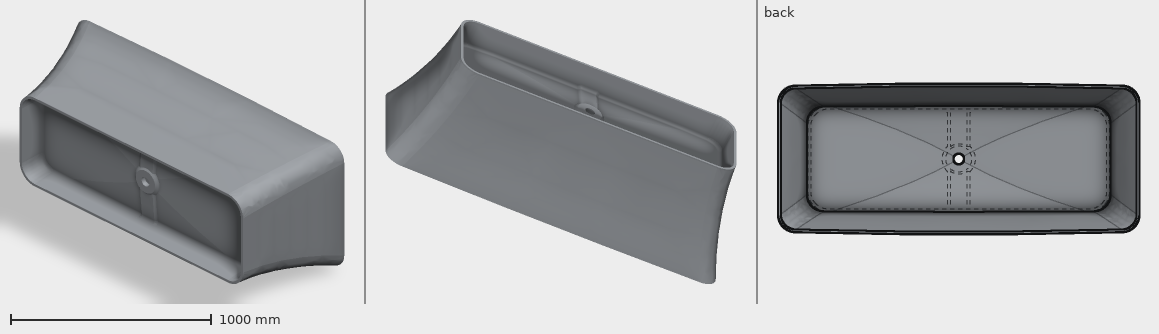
import cadquery as cq
import math


height = 585.0
rim_half_length = 900.0
rim_half_width = 376.0
rim_side_bulge = 10.0
foot_side_bulge = 0.4
foot_half_length = 750.0
foot_half_width = 263.0
length_sag = 25.0
width_sag = 18.0
foot_corner_radius = 100.0
rim_corner_radius = 90.0
lip_height = 7.0
flare_steps = 3

wall = 15.0
recess_draft = 3.5
recess_fillet = 18.0

floor_height = 115.0
end_slope = 0.035
crease_ratio = 1.7
crease_curve = 0.002778

boss_base_radius = 80.0
boss_face_radius = 65.0
boss_height = 10.0
drain_diameter = 52.0
rib_base_width = 113.0
rib_face_width = 83.0
rib_height = 8.1


def flare(level, foot_half, rim_half, sag):
    """Half size of the body at a level, on the arc from the lip top to the rim."""
    rise = height - lip_height
    run = rim_half - foot_half
    chord = math.hypot(rise, run)
    radius = (chord ** 2 / 4 + sag ** 2) / (2 * sag)
    to_center = radius - sag
    center_out = (foot_half + rim_half) / 2 + to_center * rise / chord
    center_up = lip_height + rise / 2 - to_center * run / chord
    return center_out - math.sqrt(radius ** 2 - (level - center_up) ** 2)


def rounded_outline(plane, half_length, half_width, radius, bulge):
    """Rounded rectangle whose long sides bow outwards by the bulge."""
    x_straight = half_length - radius
    y_side = half_width - bulge
    y_straight = y_side - radius
    diagonal = radius * math.sqrt(0.5)
    x_mid = x_straight + diagonal
    y_mid = y_straight + diagonal
    return (
        plane.moveTo(-x_straight, -y_side)
        .threePointArc((0, -half_width), (x_straight, -y_side))
        .threePointArc((x_mid, -y_mid), (half_length, -y_straight))
        .lineTo(half_length, y_straight)
        .threePointArc((x_mid, y_mid), (x_straight, y_side))
        .threePointArc((0, half_width), (-x_straight, y_side))
        .threePointArc((-x_mid, y_mid), (-half_length, y_straight))
        .lineTo(-half_length, -y_straight)
        .threePointArc((-x_mid, -y_mid), (-x_straight, -y_side))
        .close()
    )


def flared_body(inset):
    """The flared outside shape above the lip, shrunk sideways by the inset."""
    sections = cq.Workplane("XY")
    level = 0
    for step in range(flare_steps + 1):
        fraction = step / flare_steps
        next_level = lip_height + (height - lip_height) * fraction
        sections = rounded_outline(
            sections.workplane(offset=next_level - level),
            flare(next_level, foot_half_length, rim_half_length, length_sag) - inset,
            flare(next_level, foot_half_width, rim_half_width, width_sag) - inset,
            foot_corner_radius + (rim_corner_radius - foot_corner_radius) * fraction - inset,
            foot_side_bulge + (rim_side_bulge - foot_side_bulge) * fraction,
        )
        level = next_level
    return sections.loft(ruled=False, combine=True)


def foot_prism(inset, prism_height, draft=0):
    """Block standing on the foot outline shrunk by the inset."""
    outline = (
        cq.Sketch()
        .rect(2 * (foot_half_length - inset), 2 * (foot_half_width - inset))
        .vertices()
        .fillet(foot_corner_radius - inset)
    )
    return cq.Workplane("XY").placeSketch(outline).extrude(prism_height, taper=draft)


def side_rise(y):
    """Rise of the floor beside the drain, matched to the end slope along the creases."""
    return end_slope * (crease_ratio * y + crease_curve * y ** 2)


def side_profile(base_height):
    """Space under the side panels of the floor, as a YZ outline."""
    reach = rim_half_width
    middle = reach / 2
    edge_height = base_height + side_rise(reach)
    middle_height = base_height + side_rise(middle)
    return (
        cq.Workplane("YZ")
        .moveTo(-reach, 0)
        .lineTo(-reach, edge_height)
        .threePointArc((-middle, middle_height), (0, base_height))
        .threePointArc((middle, middle_height), (reach, edge_height))
        .lineTo(reach, 0)
        .close()
    )


def space_under_floor(base_height):
    """Everything below a floor surface that starts at base_height at the drain."""
    end_height = base_height + end_slope * rim_half_length
    under_ends = (
        cq.Workplane("XZ")
        .polyline([
            (-rim_half_length, 0),
            (-rim_half_length, end_height),
            (0, base_height),
            (rim_half_length, end_height),
            (rim_half_length, 0),
        ])
        .close()
        .extrude(rim_half_width, both=True)
    )
    under_sides = side_profile(base_height).extrude(rim_half_length, both=True)
    return under_ends.union(under_sides)


def half_rib():
    """Raised bar with sloping flanks, following the floor from the drain to the +Y wall."""
    reach = rim_half_width
    middle = reach / 2
    path = (
        cq.Workplane("YZ")
        .moveTo(0, floor_height)
        .threePointArc((middle, floor_height + side_rise(middle)), (reach, floor_height + side_rise(reach)))
    )
    return (
        cq.Workplane("XZ", origin=(0, 0, floor_height))
        .polyline([
            (-rib_base_width / 2, 0),
            (-rib_face_width / 2, -rib_height),
            (rib_face_width / 2, -rib_height),
            (rib_base_width / 2, 0),
            (rib_face_width / 2, rib_height),
            (-rib_face_width / 2, rib_height),
        ])
        .close()
        .sweep(path)
    )


def drain_boss():
    """Round pad with a conical flank around the drain."""
    flank_slope = (boss_base_radius - boss_face_radius) / boss_height
    top_radius = boss_face_radius + flank_slope * (boss_height + wall / 2)
    face_height = floor_height - boss_height
    top_height = floor_height + wall / 2
    return (
        cq.Workplane("XZ")
        .polyline([(0, face_height), (boss_face_radius, face_height), (top_radius, top_height), (0, top_height)])
        .close()
        .revolve(360, (0, 0, 0), (0, 1, 0))
    )


def recess():
    """Drafted recess under the floor, rounded where its walls meet the floor and the rib."""
    pocket = foot_prism(wall, 2 * floor_height, recess_draft).intersect(space_under_floor(floor_height))
    rib = half_rib()
    pocket = pocket.cut(rib).cut(rib.mirror("XZ"))

    inner_half_length = foot_half_length - wall - foot_corner_radius
    inner_half_width = foot_half_width - wall - foot_corner_radius
    around_floor = cq.selectors.BoxSelector(
        (-foot_half_length, -foot_half_width, floor_height - rib_height),
        (foot_half_length, foot_half_width, 2 * floor_height),
    )
    inside_walls = cq.selectors.BoxSelector(
        (-inner_half_length, -inner_half_width, 0),
        (inner_half_length, inner_half_width, 2 * floor_height),
    )
    pocket = pocket.edges(around_floor - inside_walls).fillet(recess_fillet)
    return pocket.cut(drain_boss())


def basin():
    """Inside of the tub, one wall thickness in from the outside and above the floor underside."""
    return flared_body(wall).cut(space_under_floor(floor_height + wall))


def drain():
    """Through hole in the middle of the floor."""
    return cq.Workplane("XY").circle(drain_diameter / 2).extrude(height)


upright_tub = (
    flared_body(0)
    .union(foot_prism(0, lip_height))
    .cut(recess())
    .cut(basin())
    .cut(drain())
)

result = upright_tub.translate((0, 0, -height / 2)).rotate((0, 0, 0), (1, 0, 0), -90)